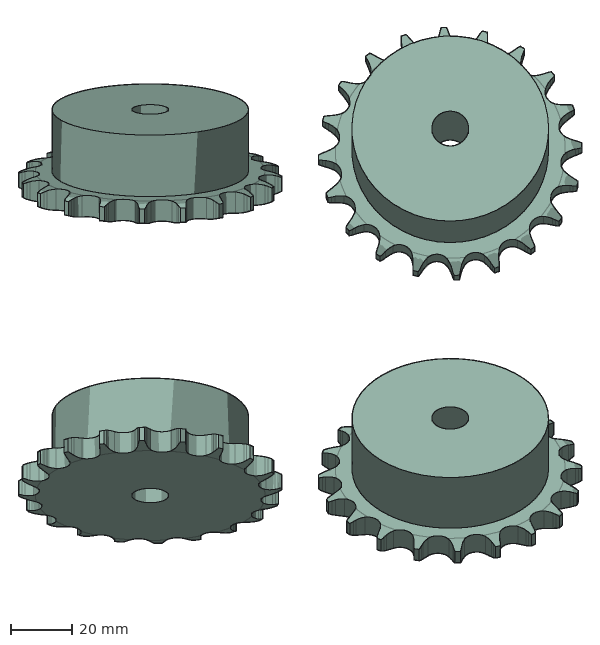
import cadquery as cq
import math

TOOTH_COUNT = 20
OUTER_SIZE = 85.0
PITCH_DIAMETER = 81.2
ROLLER_DIAMETER = 8.5
SEAT_RADIUS = 4.3
FLANGE_THICKNESS = 7.2
TOTAL_HEIGHT = 28.0
HUB_DIAMETER = 64.0
BORE_DIAMETER = 12.0
RELIEF_START_DIAMETER = 74.8
RELIEF_DEPTH = 1.3

TOOTH_PITCH_ANGLE = 360 / TOOTH_COUNT
SEAT_ANGLE = 35 + 60 / TOOTH_COUNT
FLANK_ANGLE = 18 - 56 / TOOTH_COUNT
TIP_ARC_SWEEP = 45
FLANK_CENTRE_DISTANCE = 0.8 * ROLLER_DIAMETER
TIP_CENTRE_DISTANCE = 1.4 * ROLLER_DIAMETER
FLANK_RADIUS = SEAT_RADIUS + FLANK_CENTRE_DISTANCE


def polar(centre, radius, degrees):
    """Point at a distance and direction from a centre."""
    angle = math.radians(degrees)
    return centre[0] + radius * math.cos(angle), centre[1] + radius * math.sin(angle)


def mirrored(point):
    """Point reflected across the Y axis."""
    return -point[0], point[1]


roller_centre = (0, PITCH_DIAMETER / 2)
seat_bottom = polar(roller_centre, SEAT_RADIUS, -90)
seat_end = polar(roller_centre, SEAT_RADIUS, 180 + SEAT_ANGLE)

flank_centre = polar(roller_centre, FLANK_CENTRE_DISTANCE, SEAT_ANGLE)
flank_end_direction = 180 + SEAT_ANGLE - FLANK_ANGLE
flank_mid = polar(flank_centre, FLANK_RADIUS, flank_end_direction + FLANK_ANGLE / 2)
flank_end = polar(flank_centre, FLANK_RADIUS, flank_end_direction)

tip_centre = polar(roller_centre, TIP_CENTRE_DISTANCE, 180 + TOOTH_PITCH_ANGLE / 2)
straight_direction = flank_end_direction - 90
tangent_x, tangent_y = polar((0, 0), 1, straight_direction)
straight_length = (tip_centre[0] - flank_end[0]) * tangent_x + (tip_centre[1] - flank_end[1]) * tangent_y
straight_end = polar(flank_end, straight_length, straight_direction)

tip_arc_radius = math.dist(tip_centre, straight_end)
tip_arc_start = flank_end_direction - 180
tip_arc_mid = polar(tip_centre, tip_arc_radius, tip_arc_start + TIP_ARC_SWEEP / 2)
tip_arc_end = polar(tip_centre, tip_arc_radius, tip_arc_start + TIP_ARC_SWEEP)

corner_y = OUTER_SIZE / 2
corner_x = tip_centre[0] + math.sqrt(tip_arc_radius**2 - (corner_y - tip_centre[1]) ** 2)
tip_radius = math.hypot(corner_x, corner_y)


def make_blank():
    """Turned disc whose rim curves in on both faces, carrying the hub."""
    face_radius = RELIEF_START_DIAMETER / 2
    hub_radius = HUB_DIAMETER / 2
    relief_width = tip_radius - face_radius
    relief_radius = (relief_width**2 + RELIEF_DEPTH**2) / (2 * RELIEF_DEPTH)
    mid_radius = face_radius + relief_width / 2
    mid_depth = relief_radius - math.sqrt(relief_radius**2 - (relief_width / 2) ** 2)
    return (
        cq.Workplane("XZ")
        .moveTo(0, 0)
        .lineTo(face_radius, 0)
        .threePointArc((mid_radius, mid_depth), (tip_radius, RELIEF_DEPTH))
        .lineTo(tip_radius, FLANGE_THICKNESS - RELIEF_DEPTH)
        .threePointArc((mid_radius, FLANGE_THICKNESS - mid_depth), (face_radius, FLANGE_THICKNESS))
        .lineTo(hub_radius, FLANGE_THICKNESS)
        .lineTo(hub_radius, TOTAL_HEIGHT)
        .lineTo(0, TOTAL_HEIGHT)
        .close()
        .revolve(360, (0, 0, 0), (0, 1, 0))
    )


def make_gap_cutter():
    """Prism filling the gap between two teeth, centred on the +Y axis."""
    return (
        cq.Workplane("XY")
        .moveTo(*tip_arc_end)
        .threePointArc(tip_arc_mid, straight_end)
        .lineTo(*flank_end)
        .threePointArc(flank_mid, seat_end)
        .threePointArc(seat_bottom, mirrored(seat_end))
        .threePointArc(mirrored(flank_mid), mirrored(flank_end))
        .lineTo(*mirrored(straight_end))
        .threePointArc(mirrored(tip_arc_mid), mirrored(tip_arc_end))
        .close()
        .extrude(FLANGE_THICKNESS)
    )


def make_bore():
    """Cylinder for the shaft hole through the full height."""
    return cq.Workplane("XY").circle(BORE_DIAMETER / 2).extrude(TOTAL_HEIGHT)


result = make_blank().cut(make_bore())
gap_cutter = make_gap_cutter()
for gap_index in range(TOOTH_COUNT):
    result = result.cut(gap_cutter.rotate((0, 0, 0), (0, 0, 1), gap_index * TOOTH_PITCH_ANGLE))